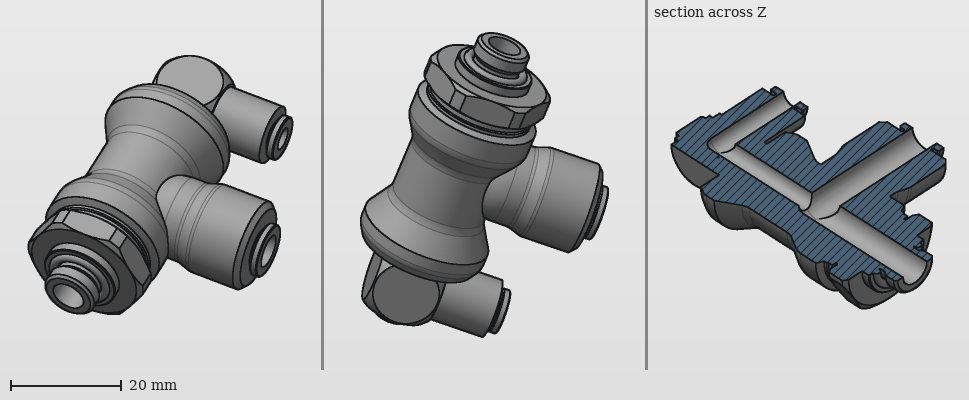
import cadquery as cq
import math

total_length = 57.6
total_width = 39.75

thread_radius = 4.95
thread_chamfer = 0.5
thread_taper_start = 2.6
thread_neck_start = 3.4
thread_neck_radius = 4.3

seal_outer_radius = 6.05
seal_section_radius = 0.8
collar_front = 4.6
collar_radius = 7.1
collar_chamfer = 0.2

nut_front = 6.45
nut_back = 11.05
nut_across_flats = 21.0
nut_corner_radius = 11.5
nut_chamfer_length = 0.65
nut_face_radius = nut_across_flats / 2

groove_radius = 8.75
ring_front = 11.4
ring_radius = 9.7
ring_back = 12.4
step_front = 12.6
step_radius = 9.95
step_back = 13.25

flare_angle = 30.0
waist_radius = 8.9
base_front = 13.95
base_radius = 11.4
waist_front = 22.9
waist_back = 34.1
waist_blend_radius = 3.0
rim_diameter = 23.8
rim_radius = rim_diameter / 2
rim_chamfer_front = 41.9
rim_blend_radius = 2.0
body_back = 43.8

block_back = 55.9
block_width = 12.45
block_sphere_radius = 8.65
cap_back = 56.7
cap_radius = 4.5
plug_radius = 3.45
plug_chamfer = 0.35

small_outlet_y = (body_back + block_back) / 2
small_outlet_radius = 5.5
small_outlet_end = 16.6
small_collar_neck_radius = 2.65
small_collar_start = 17.2
small_collar_tip = 18.65
small_collar_radius = 4.15
small_collar_back_chamfer = 0.25

large_outlet_y = 25.2
outlet_neck_radius = 7.6
outlet_dome_center = 9.8
outlet_radius = 8.45
outlet_taper_start = 12.9
outlet_taper_end = 15.55
outlet_blend_radius = 2.0
outlet_end = 25.8
outlet_chamfer = 1.05
large_collar_neck_radius = 3.7
large_collar_start = 26.4
large_collar_tip = total_width - rim_radius
large_collar_radius = 5.0
large_collar_back_chamfer = 0.3

collar_tip_chamfer = 0.2

large_passage_radius = 3.05
small_passage_radius = 2.1


def revolve_about_y(points):
    """Solid of revolution about the Y axis from (radius, y) points."""
    return cq.Workplane("XY").polyline(points).close().revolve(360, (0, 0, 0), (0, 1, 0))


def cylinder_along_x(radius, start, end, y):
    return cq.Workplane("YZ", origin=(start, y, 0)).circle(radius).extrude(end - start)


def circle_at_y(y):
    """Selects the circular edges lying at the given Y."""
    tolerance = 0.03
    return cq.selectors.BoxSelector(
        (-tolerance, y - tolerance, -tolerance), (tolerance, y + tolerance, tolerance)
    )


def make_threaded_end():
    end_radius = thread_radius - thread_chamfer
    thread = revolve_about_y([
        (0, 0),
        (end_radius, 0),
        (thread_radius, thread_chamfer),
        (thread_radius, thread_taper_start),
        (thread_neck_radius, thread_neck_start),
        (thread_neck_radius, collar_front),
        (0, collar_front),
    ])
    seal = (
        cq.Workplane("XY")
        .moveTo(seal_outer_radius - seal_section_radius, collar_front)
        .circle(seal_section_radius)
        .revolve(360, (0, 0, 0), (0, 1, 0))
    )
    collar = revolve_about_y([
        (0, collar_front),
        (collar_radius, collar_front),
        (collar_radius, nut_front),
        (0, nut_front),
    ]).faces("<Y").edges().chamfer(collar_chamfer)
    return thread.union(seal).union(collar)


def make_nut():
    """Hexagon with flats facing +Z and -Z, its corners turned down and chamfered at both ends."""
    corner_diameter = nut_across_flats / math.cos(math.radians(30))
    hexagon = (
        cq.Workplane("XZ", origin=(0, nut_back, 0))
        .polygon(6, corner_diameter)
        .extrude(nut_back - nut_front)
    )
    turned_envelope = revolve_about_y([
        (0, nut_front),
        (nut_face_radius, nut_front),
        (nut_corner_radius, nut_front + nut_chamfer_length),
        (nut_corner_radius, nut_back - nut_chamfer_length),
        (nut_face_radius, nut_back),
        (0, nut_back),
    ])
    return hexagon.intersect(turned_envelope)


def make_body():
    """Waisted body with a stepped ring at the nut and a chamfered rim at the block."""
    flare_slope = math.tan(math.radians(flare_angle))
    base_flare_start = waist_front - (base_radius - waist_radius) / flare_slope
    rim_flare_end = waist_back + (rim_radius - waist_radius) / flare_slope
    rim_end_radius = rim_radius - (body_back - rim_chamfer_front) * flare_slope
    body = revolve_about_y([
        (0, nut_back),
        (groove_radius, nut_back),
        (groove_radius, ring_front),
        (ring_radius, ring_front),
        (ring_radius, ring_back),
        (step_radius, step_front),
        (step_radius, step_back),
        (base_radius, base_front),
        (base_radius, base_flare_start),
        (waist_radius, waist_front),
        (waist_radius, waist_back),
        (rim_radius, rim_flare_end),
        (rim_radius, rim_chamfer_front),
        (rim_end_radius, body_back),
        (0, body_back),
    ])
    for y in (base_flare_start, waist_front, waist_back):
        body = body.edges(circle_at_y(y)).fillet(waist_blend_radius)
    return body.edges(circle_at_y(rim_chamfer_front)).fillet(rim_blend_radius)


def make_block():
    """Elbow block: a box with its corners rounded by a sphere, plus the end cap."""
    center = (0, small_outlet_y, 0)
    box = cq.Workplane("XY", origin=center).box(block_width, block_back - body_back, block_width)
    block = box.intersect(cq.Workplane("XY", origin=center).sphere(block_sphere_radius))
    cap = revolve_about_y([
        (0, small_outlet_y),
        (cap_radius, small_outlet_y),
        (cap_radius, cap_back),
        (plug_radius, cap_back),
        (plug_radius, total_length - plug_chamfer),
        (plug_radius - plug_chamfer, total_length),
        (0, total_length),
    ])
    return block.union(cap)


def make_release_collar(y, start, neck_radius, collar_start, collar_end, radius, back_chamfer):
    """Release collar on an outlet: a short neck and a chamfered disc."""
    neck = cylinder_along_x(neck_radius, start, collar_start, y)
    disc = cylinder_along_x(radius, collar_start, collar_end, y)
    disc = disc.faces("<X").edges().chamfer(back_chamfer)
    disc = disc.faces(">X").edges().chamfer(collar_tip_chamfer)
    return neck.union(disc)


def make_small_outlet():
    sleeve = cylinder_along_x(small_outlet_radius, 0, small_outlet_end, small_outlet_y)
    collar = make_release_collar(
        small_outlet_y,
        start=small_outlet_end,
        neck_radius=small_collar_neck_radius,
        collar_start=small_collar_start,
        collar_end=small_collar_tip,
        radius=small_collar_radius,
        back_chamfer=small_collar_back_chamfer,
    )
    return sleeve.union(collar)


def make_large_outlet():
    """Domed neck widening through a blended cone into the outlet sleeve."""
    sleeve = (
        cq.Workplane("XY", origin=(0, large_outlet_y, 0))
        .moveTo(outlet_dome_center, 0)
        .lineTo(outlet_dome_center, outlet_neck_radius)
        .lineTo(outlet_taper_start, outlet_neck_radius)
        .lineTo(outlet_taper_end, outlet_radius)
        .lineTo(outlet_end - outlet_chamfer, outlet_radius)
        .lineTo(outlet_end, outlet_radius - outlet_chamfer)
        .lineTo(outlet_end, 0)
        .close()
        .revolve(360, (0, 0, 0), (1, 0, 0))
    )
    for x in (outlet_taper_start, outlet_taper_end):
        sleeve = sleeve.edges(cq.selectors.NearestToPointSelector((x, large_outlet_y, 0)))
        sleeve = sleeve.fillet(outlet_blend_radius)
    dome = cq.Workplane("XY", origin=(outlet_dome_center, large_outlet_y, 0)).sphere(outlet_neck_radius)
    collar = make_release_collar(
        large_outlet_y,
        start=outlet_end,
        neck_radius=large_collar_neck_radius,
        collar_start=large_collar_start,
        collar_end=large_collar_tip,
        radius=large_collar_radius,
        back_chamfer=large_collar_back_chamfer,
    )
    return sleeve.union(dome).union(collar)


def make_passage(radius, outlet_y, outlet_tip):
    """Bore from the threaded end, turning at a spherical elbow and leaving through an outlet."""
    inlet = cq.Workplane("XZ").circle(radius).extrude(-outlet_y)
    elbow = cq.Workplane("XY", origin=(0, outlet_y, 0)).sphere(radius)
    outlet = cylinder_along_x(radius, 0, outlet_tip, outlet_y)
    return inlet.union(elbow).union(outlet)


result = (
    make_body()
    .union(make_nut())
    .union(make_threaded_end())
    .union(make_block())
    .union(make_small_outlet())
    .union(make_large_outlet())
    .cut(make_passage(large_passage_radius, large_outlet_y, large_collar_tip))
    .cut(make_passage(small_passage_radius, small_outlet_y, small_collar_tip))
)